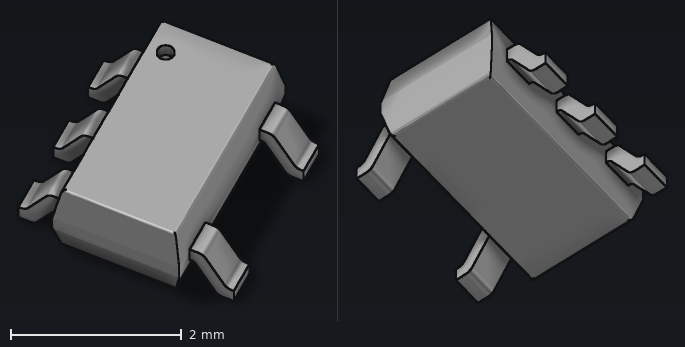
import cadquery as cq
import math

lead_span = 2.8
body_length = 2.9
total_height = 1.2

body_width = 1.653
body_bottom = 0.1
band_top = 0.71
side_inset = 0.087
body_edge_radius = 0.044

mark_diameter = 0.205
mark_depth = 0.2
mark_edge_distance = 0.334

lead_thickness = 0.215
lead_width = 0.43
lead_pitch = 0.95
lead_angle = 58.2
shoulder_length = 0.175
convex_bend_radius = 0.115
foot_concave_radius = 0.107
shoulder_concave_radius = 0.072

band_bottom = band_top - lead_thickness


def tapered_block(start_height, end_height):
    """Block that narrows by the side inset from one height to the other."""
    return (
        cq.Workplane("XY")
        .workplane(offset=start_height)
        .rect(body_width, body_length)
        .workplane(offset=end_height - start_height)
        .rect(body_width - 2 * side_inset, body_length - 2 * side_inset)
        .loft(ruled=True)
    )


def make_body():
    """Moulded body with rounded top and bottom edges and a blind pin-one mark."""
    upper = tapered_block(band_top, total_height).faces(">Z").edges().fillet(body_edge_radius)
    lower = tapered_block(band_bottom, body_bottom).faces("<Z").edges().fillet(body_edge_radius)
    band = (
        cq.Workplane("XY")
        .workplane(offset=band_bottom)
        .rect(body_width, body_length)
        .extrude(lead_thickness)
    )
    mark = (
        cq.Workplane("XY")
        .workplane(offset=total_height - mark_depth)
        .center(mark_edge_distance - body_width / 2, lead_pitch)
        .circle(mark_diameter / 2)
        .extrude(mark_depth)
    )
    return band.union(upper).union(lower).cut(mark)


def make_lead(side, y_center):
    """Gull-wing lead that meets the body wall; side is -1 for -X and 1 for +X."""
    wall = body_width / 2
    tip = lead_span / 2
    slope = math.radians(lead_angle)
    shoulder_top = wall + shoulder_length
    foot_top = shoulder_top + (band_top - lead_thickness) / math.tan(slope)
    face_shift = lead_thickness * math.tan(slope / 2)
    profile = [
        (wall, band_top),
        (shoulder_top, band_top),
        (foot_top, lead_thickness),
        (tip, lead_thickness),
        (tip, 0),
        (foot_top - face_shift, 0),
        (shoulder_top - face_shift, band_bottom),
        (wall, band_bottom),
    ]
    lead = (
        cq.Workplane("XZ", origin=(0, y_center, 0))
        .polyline([(side * x, z) for x, z in profile])
        .close()
        .extrude(lead_width / 2, both=True)
    )
    bends = [
        (shoulder_top, band_top, convex_bend_radius),
        (foot_top, lead_thickness, foot_concave_radius),
        (foot_top - face_shift, 0, convex_bend_radius),
        (shoulder_top - face_shift, band_bottom, shoulder_concave_radius),
    ]
    for x, z, radius in bends:
        corner = cq.selectors.NearestToPointSelector((side * x, y_center, z))
        lead = lead.edges("|Y").edges(corner).fillet(radius)
    return lead


body = make_body()

lead_rows = {-1: (-1, 0, 1), 1: (-1, 1)}
leads = []
for side, positions in lead_rows.items():
    for position in positions:
        leads.append(make_lead(side, position * lead_pitch))

result = cq.Compound.makeCompound([body.val(), *[lead.val() for lead in leads]])